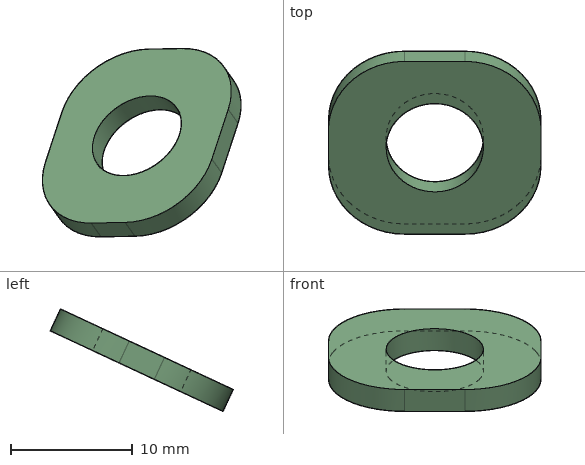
import cadquery as cq

plate_length = 17.5
plate_width = 15.7
plate_thickness = 2.0
corner_radius = 6.25
hole_diameter = 8.0
tilt_angle = 25.0


def flat_plate():
    """Rounded rectangular plate, centred on the origin and lying in XY."""
    plate = cq.Workplane("XY").box(plate_length, plate_width, plate_thickness)
    return plate.edges("|Z").fillet(corner_radius)


def add_center_hole(plate):
    """Through hole perpendicular to the plate faces."""
    return plate.faces(">Z").workplane().hole(hole_diameter)


def tilt(plate):
    """Turn the plate about the X axis so that its +Y side rises."""
    return plate.rotate((0, 0, 0), (1, 0, 0), tilt_angle)


result = tilt(add_center_hole(flat_plate()))